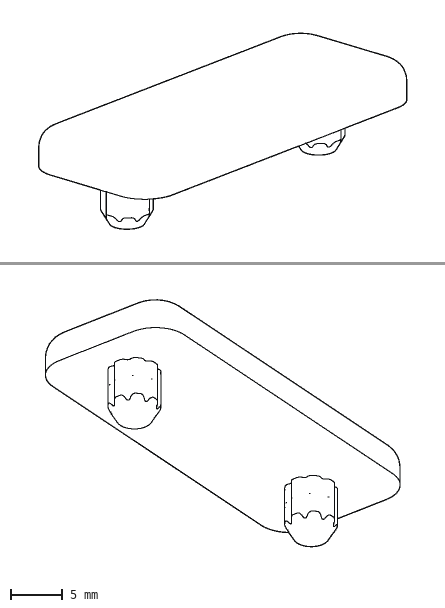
import cadquery as cq
import math

plate_width = 16.0
plate_length = 40.0
plate_thickness = 4.0
plate_corner_radius = 3.5
top_edge_radius = 2.0

pin_length = 5.5
pin_radius = 2.55
pin_spacing = 28.0
pin_tip_radius = 1.7
pin_tip_rounding = 0.2
taper_angle = 30.0
taper_length = (pin_radius - pin_tip_radius) / math.tan(math.radians(taper_angle))

flute_count = 8
flute_radius = 0.3
flute_edge_radius = 0.5
flute_pitch = 360.0 / flute_count


def make_plate():
    """Rounded rectangular plate with its underside at Z = 0."""
    return (
        cq.Workplane("XY")
        .rect(plate_width, plate_length)
        .extrude(plate_thickness)
        .edges("|Z")
        .fillet(plate_corner_radius)
        .faces(">Z")
        .edges()
        .fillet(top_edge_radius)
    )


def make_pin():
    """Pin hanging down from Z = 0: a fluted shaft with a tapered tip."""
    shaft = (
        cq.Workplane("XY")
        .circle(pin_radius)
        .extrude(-pin_length)
        .rotate((0, 0, 0), (0, 0, 1), flute_pitch / 2)
    )
    flutes = (
        cq.Workplane("XY")
        .polarArray(pin_radius, flute_pitch / 2, 360, flute_count)
        .circle(flute_radius)
        .extrude(-pin_length)
    )
    fluted_shaft = shaft.cut(flutes).edges("|Z").fillet(flute_edge_radius)

    tapered_envelope = (
        cq.Workplane("XY")
        .circle(pin_radius)
        .extrude(-pin_length)
        .faces("<Z")
        .chamfer(taper_length, pin_radius - pin_tip_radius)
        .faces("<Z")
        .edges()
        .fillet(pin_tip_rounding)
    )
    return fluted_shaft.intersect(tapered_envelope)


body = make_plate()
pin = make_pin()
for side in (-1, 1):
    body = body.union(pin.translate((0, side * pin_spacing / 2, 0)))

result = body.solids()